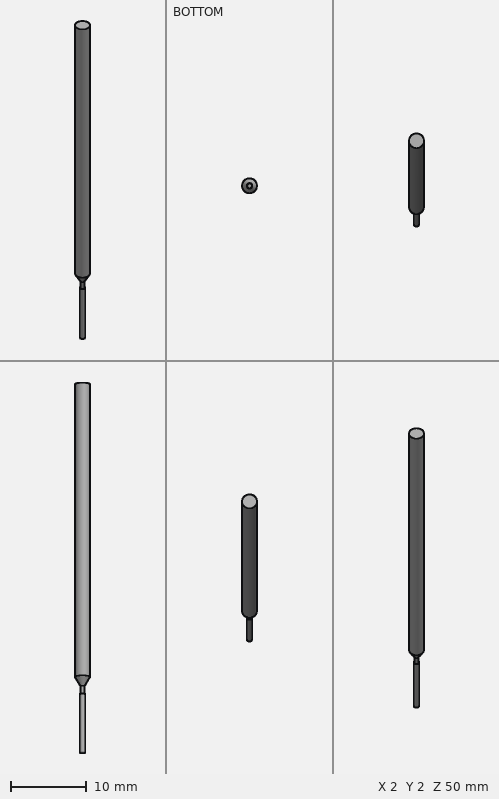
import cadquery as cq
import math

overall_length = 50.0
head_length = 8.0
cone_top = 10.3

shank_diameter = 2.0
neck_diameter = 0.58
head_diameter = 0.75

tip_corner_radius = 0.1
cone_half_angle = 30.0

shank_radius = shank_diameter / 2
neck_radius = neck_diameter / 2
head_radius = head_diameter / 2
cone_length = (shank_radius - neck_radius) / math.tan(math.radians(cone_half_angle))
neck_top = cone_top - cone_length


def make_holder():
    """Shank, cone and thin neck, turned about Z; the neck stands on the head's shoulder."""
    half_profile = (
        cq.Workplane("XZ")
        .moveTo(0, head_length)
        .lineTo(neck_radius, head_length)
        .lineTo(neck_radius, neck_top)
        .lineTo(shank_radius, cone_top)
        .lineTo(shank_radius, overall_length)
        .lineTo(0, overall_length)
        .close()
    )
    return half_profile.revolve(360, (0, 0, 0), (0, 1, 0))


def make_cutting_head():
    """Plain cylinder with a rounded corner around its tip."""
    cylinder = cq.Workplane("XY").circle(head_radius).extrude(head_length)
    return cylinder.faces("<Z").edges().fillet(tip_corner_radius)


holder = make_holder()
cutting_head = make_cutting_head()

result = cq.Compound.makeCompound([holder.val(), cutting_head.val()])